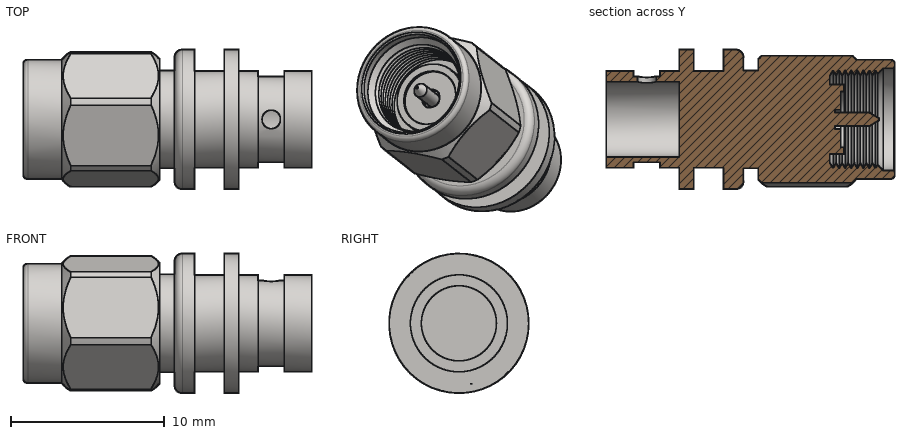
import cadquery as cq
import math

nut_hex_start = 2.52
nut_end = 8.91
flange_start = 9.85
flange_end = 11.17
washer_start = 13.08
washer_end = 14.05
groove_start = 15.3
groove_end = 17.0
length = 18.8

collar_radius = 3.9
neck_radius = 3.2
body_radius = 3.15
flange_radius = 4.55
groove_radius = 2.8
collar_fillet = 0.3
flange_fillet = 0.5

hex_across_flats = 8.0
hex_corner_radius = 4.5
hex_bevel = 0.58
hex_sides = 6
hex_turn = 15

mouth_radius = 3.45
entry_radius = 3.33
entry_start = 0.08
lead_end_radius = 2.95
crest_radius = 2.84
first_crest = 1.07
thread_pitch = 0.4
thread_ridges = 8
flank_slope = math.tan(math.radians(30))
thread_depth = thread_pitch / 2 / flank_slope
socket_depth = first_crest + thread_pitch * thread_ridges

sleeve_outer_radius = 2.27
sleeve_inner_radius = 1.8
sleeve_start = 3.3
insulator_start = 3.52
pin_hole_radius = 0.62
pin_hole_depth = 0.38
pin_radius = 0.45
pin_tip_radius = 0.08
pin_tip = 1.03
pin_cone_end = 1.65

rear_bore_radius = 2.45
cross_hole_radius = 0.6
cross_hole_x = (groove_start + groove_end) / 2


def revolve(profile):
    """Turn a closed (x, radius) outline about the X axis."""
    return profile.close().revolve(360, (0, 0, 0), (1, 0, 0))


def cylinder(start, end, radius):
    return cq.Workplane("YZ", origin=(start, 0, 0)).circle(radius).extrude(end - start)


def hex_nut():
    hex_length = nut_end - nut_hex_start
    hex_diameter = hex_across_flats / math.cos(math.pi / hex_sides)
    end_plane = cq.Workplane("YZ", origin=(nut_hex_start, 0, 0))
    prism = end_plane.polygon(hex_sides, hex_diameter).extrude(hex_length)
    envelope = cylinder(nut_hex_start, nut_end, hex_corner_radius).edges().chamfer(hex_bevel)
    return prism.rotate((0, 0, 0), (1, 0, 0), hex_turn).intersect(envelope)


def outer_body():
    collar = cylinder(0, nut_hex_start, collar_radius).faces("<X").edges().fillet(collar_fillet)
    flange = cylinder(flange_start, flange_end, flange_radius).faces("<X").edges().fillet(flange_fillet)
    return (
        collar.union(hex_nut())
        .union(cylinder(nut_end, flange_start, neck_radius))
        .union(flange)
        .union(cylinder(flange_end, groove_start, body_radius))
        .union(cylinder(washer_start, washer_end, flange_radius))
        .union(cylinder(groove_start, groove_end, groove_radius))
        .union(cylinder(groove_end, length, body_radius))
    )


def threaded_socket():
    lead_end = first_crest + (lead_end_radius - crest_radius) * flank_slope
    lead_start = lead_end - (entry_radius - lead_end_radius)
    outline = (
        cq.Workplane("XY")
        .lineTo(0, mouth_radius)
        .lineTo(entry_start, entry_radius)
        .lineTo(lead_start, entry_radius)
        .lineTo(lead_end, lead_end_radius)
    )
    for ridge in range(1, thread_ridges + 1):
        crest_x = first_crest + ridge * thread_pitch
        root_x = crest_x - thread_pitch / 2
        outline = outline.lineTo(root_x, crest_radius + thread_depth).lineTo(crest_x, crest_radius)
    return revolve(outline.lineTo(socket_depth, 0))


def contact():
    sleeve = cylinder(sleeve_start, socket_depth, sleeve_outer_radius)
    recess = cylinder(sleeve_start, insulator_start, sleeve_inner_radius)
    pin_hole = cylinder(insulator_start, insulator_start + pin_hole_depth, pin_hole_radius)
    pin = revolve(
        cq.Workplane("XY")
        .moveTo(pin_tip, 0)
        .lineTo(pin_tip, pin_tip_radius)
        .lineTo(pin_cone_end, pin_radius)
        .lineTo(socket_depth, pin_radius)
        .lineTo(socket_depth, 0)
    )
    return sleeve.cut(recess).cut(pin_hole).union(pin)


rear_bore = cylinder(washer_end, length, rear_bore_radius)
cross_hole = cq.Workplane("XY").center(cross_hole_x, 0).circle(cross_hole_radius).extrude(body_radius)

result = outer_body().cut(threaded_socket()).union(contact()).cut(rear_bore).cut(cross_hole)